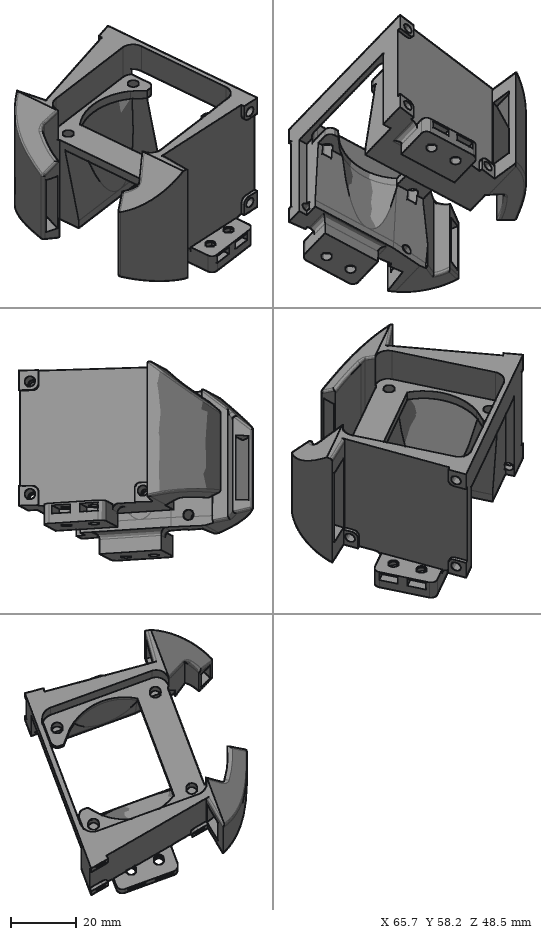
import cadquery as cq
import math


BODY_HEIGHT = 42.0
BACK_Y = 22.25
FRONT_Y = -20.1
LEFT_TILT = 10.0
RIGHT_TILT = 5.0
LEFT_WALL_X = -25.77
RIGHT_WALL_X = 24.4

POCKET_SIZE = 41.0
POCKET_RADIUS = 4.0
PLATE_TOP = 30.5
PLATE_BOTTOM = 27.5
PLATE_BACK_Y = 19.4
FRONT_GAP_HALF_WIDTH = 16.0
BACK_WALL_BOTTOM = 32.4
BACK_GAP_HALF_WIDTH = 22.0
FAN_BORE_RADIUS = 19.05
FAN_BORE_FRONT_Y = -10.2
FAN_SCREW_PITCH = 32.0
FAN_SCREW_DIAMETER = 3.45
FAN_SCREW_BOTTOM = 24.0
EAR_TIP_X = 10.5
EAR_RADIUS = 2.2
EAR_FLAT_END_Y = 15.9
EAR_MEETS_BORE_X = 14.4

CAVITY_TOP_LEFT_X = -14.0
CAVITY_TOP_RIGHT_X = 16.0
CAVITY_LEFT_X = -8.66
CAVITY_RIGHT_X = 17.6
CAVITY_MOUTH_HEIGHT = 3.0
CAVITY_BULGE_LENGTH = 36.0
CAVITY_FLARE_Y = 10.0
CAVITY_FLARE_SLOPE = 0.11
CAVITY_OVERRUN = 3.2

NUT_SLOT_WIDTH = 5.9
NUT_SLOT_HEIGHT = 2.6

TAB_REACH = 2.6
TAB_THICKNESS = 1.1
TAB_RADIUS = 2.0
BLOWER_SCREW_DIAMETER = 3.2
BLOWER_SCREW_SETBACK = 3.25
BLOWER_SCREW_HEIGHT = 3.5
BLOWER_SCREW_PITCH = BODY_HEIGHT - 2 * BLOWER_SCREW_HEIGHT
BLOWER_CLEARANCE_DEPTH = 6.1
BLOWER_CORE_DIAMETER = 3.0
LEFT_SCREW_DEPTH = 8.8
RIGHT_SCREW_DEPTH = 6.4

FOOT_OUTER_X = 32.5
FOOT_INNER_X = 20.0
FOOT_BACK_Y = 14.0
FOOT_FRONT_Y = -6.0
FOOT_HEIGHT = 6.5
FOOT_CORNER_RADIUS = 2.0
FOOT_ROOT_FILLET = 1.9
FOOT_CLEARANCE = 0.25
FOOT_HOLE_X = 27.5
FOOT_HOLE_YS = (8.0, -1.0)
FOOT_HOLE_DIAMETER = 3.2
FOOT_HOLE_RECESS = 0.05
FOOT_SLOT_BOTTOM = -3.5

ARM_BEND_Y = -20.7
ARM_TIP_Y = -36.2
ARM_TIP_TOP = 29.0
ARM_TIP_BOTTOM = 4.3
ARM_EDGE_FILLET = 0.9
ARM_ROOT_X = 20.5
DUCT_BOTTOM = 7.0
DUCT_INLET_TOP = 35.0
DUCT_OUTLET_TOP = 27.0
DUCT_OUTLET_END_Y = -30.5
DUCT_OVERRUN = 1.5


def wall_x(side, y):
    """X of the side wall at a given Y; side is -1 for left and 1 for right."""
    if side < 0:
        return LEFT_WALL_X - y * math.tan(math.radians(LEFT_TILT))
    return RIGHT_WALL_X + y * math.tan(math.radians(RIGHT_TILT))


def block(x_range, y_range, z_range):
    """Axis-aligned box between pairs of limits."""
    size = [high - low for low, high in (x_range, y_range, z_range)]
    return (
        cq.Workplane("XY")
        .box(*size, centered=False)
        .translate((x_range[0], y_range[0], z_range[0]))
    )


def body_prism(z_bottom, z_top):
    """Prism over the tapered body outline."""
    outline = [
        (wall_x(-1, BACK_Y), BACK_Y),
        (wall_x(1, BACK_Y), BACK_Y),
        (wall_x(1, FRONT_Y), FRONT_Y),
        (wall_x(-1, FRONT_Y), FRONT_Y),
    ]
    return cq.Workplane("XY").workplane(offset=z_bottom).polyline(outline).close().extrude(z_top - z_bottom)


def wall_plane(side):
    """Plane on a side wall: origin at its lower back corner, local Y up, normal outward."""
    tilt = math.radians(LEFT_TILT if side < 0 else RIGHT_TILT)
    return cq.Plane(
        origin=(wall_x(side, BACK_Y), BACK_Y, 0),
        xDir=(math.sin(tilt), side * math.cos(tilt), 0),
        normal=(side * math.cos(tilt), -math.sin(tilt), 0),
    )


def blower_screw_points(side):
    """Screw places on a wall plane: back bottom, front bottom and back top."""
    back = BLOWER_SCREW_SETBACK
    front = back + BLOWER_SCREW_PITCH
    low = BLOWER_SCREW_HEIGHT
    high = low + BLOWER_SCREW_PITCH
    return [(-side * along, height) for along, height in ((back, low), (front, low), (back, high))]


def blower_tabs(side):
    """Raised screw pads that run out to the wall edges and round off towards its middle."""
    plane = wall_plane(side)
    tabs = cq.Workplane("XY")
    middle_along = -side * (BLOWER_SCREW_SETBACK + BLOWER_SCREW_PITCH / 2)
    middle_height = BODY_HEIGHT / 2
    reach_out = BLOWER_SCREW_HEIGHT + TAB_REACH
    for along, height in blower_screw_points(side):
        inner_along = along + math.copysign(TAB_REACH, middle_along - along)
        inner_height = height + math.copysign(TAB_REACH, middle_height - height)
        outer_along = inner_along - math.copysign(reach_out, middle_along - along)
        outer_height = inner_height - math.copysign(reach_out, middle_height - height)
        corner = plane.toWorldCoords((inner_along, inner_height, TAB_THICKNESS / 2))
        pad = (
            cq.Workplane(plane)
            .center((inner_along + outer_along) / 2, (inner_height + outer_height) / 2)
            .rect(reach_out, reach_out)
            .extrude(TAB_THICKNESS)
            .edges(cq.selectors.NearestToPointSelector(corner.toTuple()))
            .fillet(TAB_RADIUS)
        )
        tabs = tabs.union(pad)
    limits = block((-FOOT_OUTER_X, FOOT_OUTER_X), (FRONT_Y, BACK_Y), (0, BODY_HEIGHT))
    return tabs.intersect(limits)


def blower_screw_holes(side):
    """Blind screw holes square to a side wall, stepped down to a narrower end."""
    tab_face = (
        cq.Workplane(wall_plane(side))
        .workplane(offset=TAB_THICKNESS)
        .pushPoints(blower_screw_points(side))
    )
    clearance = tab_face.circle(BLOWER_SCREW_DIAMETER / 2).extrude(-BLOWER_CLEARANCE_DEPTH)
    depth = LEFT_SCREW_DEPTH if side < 0 else RIGHT_SCREW_DEPTH
    core = tab_face.circle(BLOWER_CORE_DIAMETER / 2).extrude(-depth)
    return clearance.union(core)


def fan_pocket():
    """Square fan seat, its open front and the gap behind the fan plate."""
    seat = (
        cq.Workplane("XY")
        .workplane(offset=PLATE_TOP)
        .rect(POCKET_SIZE, POCKET_SIZE)
        .extrude(BODY_HEIGHT - PLATE_TOP)
        .edges("|Z")
        .fillet(POCKET_RADIUS)
    )
    gap = FRONT_GAP_HALF_WIDTH
    front_gap = block((-gap, gap), (FRONT_Y - 1, 0), (PLATE_TOP, BODY_HEIGHT))
    back_gap = block(
        (-BACK_GAP_HALF_WIDTH, BACK_GAP_HALF_WIDTH),
        (PLATE_BACK_Y, BACK_Y),
        (0, BACK_WALL_BOTTOM),
    )
    return seat.union(front_gap).union(back_gap)


def fan_bore():
    """Opening in the fan plate: a circle with a flat front and an open back between two ears."""
    thickness = PLATE_TOP - PLATE_BOTTOM
    plate = cq.Workplane("XY").workplane(offset=PLATE_BOTTOM)
    reach = FAN_BORE_RADIUS
    bore = plate.circle(FAN_BORE_RADIUS).extrude(thickness)
    bore = bore.intersect(
        block((-reach, reach), (FAN_BORE_FRONT_Y, PLATE_BACK_Y), (PLATE_BOTTOM, PLATE_TOP))
    )
    ear_bore_y = math.sqrt(FAN_BORE_RADIUS ** 2 - EAR_MEETS_BORE_X ** 2)
    ear_round_y = PLATE_BACK_Y - EAR_RADIUS
    flare_x = EAR_TIP_X + EAR_RADIUS
    middle = EAR_RADIUS * (1 - math.sqrt(0.5))
    throat = (
        plate.moveTo(-EAR_MEETS_BORE_X, ear_bore_y)
        .lineTo(-EAR_TIP_X, EAR_FLAT_END_Y)
        .lineTo(-EAR_TIP_X, ear_round_y)
        .threePointArc((-EAR_TIP_X - middle, PLATE_BACK_Y - middle), (-flare_x, PLATE_BACK_Y))
        .lineTo(flare_x, PLATE_BACK_Y)
        .threePointArc((EAR_TIP_X + middle, PLATE_BACK_Y - middle), (EAR_TIP_X, ear_round_y))
        .lineTo(EAR_TIP_X, EAR_FLAT_END_Y)
        .lineTo(EAR_MEETS_BORE_X, ear_bore_y)
        .close()
        .extrude(thickness)
    )
    ears = (
        plate.rect(2 * reach, 2 * PLATE_BACK_Y)
        .extrude(thickness)
        .cut(throat)
        .intersect(block((-reach, reach), (ear_bore_y, PLATE_BACK_Y), (PLATE_BOTTOM, PLATE_TOP)))
    )
    return bore.union(throat).cut(ears)


def air_cavity():
    """Passage from the fan plate to the offset mouth in the underside, open at the front and back."""
    front = FRONT_Y - CAVITY_OVERRUN
    flare_x = CAVITY_RIGHT_X + CAVITY_FLARE_SLOPE * (-CAVITY_FLARE_Y - front)
    mouth = [
        (CAVITY_LEFT_X, front),
        (flare_x, front),
        (CAVITY_RIGHT_X, -CAVITY_FLARE_Y),
        (CAVITY_RIGHT_X, PLATE_BACK_Y),
        (CAVITY_LEFT_X, PLATE_BACK_Y),
    ]
    passage_top = [
        (CAVITY_TOP_LEFT_X if x == CAVITY_LEFT_X else CAVITY_TOP_RIGHT_X, y) for x, y in mouth
    ]
    straight = cq.Workplane("XY").polyline(mouth).close().extrude(CAVITY_MOUTH_HEIGHT)
    passage = (
        straight.faces(">Z")
        .workplane(origin=(0, 0, 0))
        .polyline(mouth)
        .close()
        .workplane(offset=PLATE_BOTTOM - CAVITY_MOUTH_HEIGHT)
        .polyline(passage_top)
        .close()
        .loft(ruled=True)
    )
    centre_x = (CAVITY_LEFT_X + CAVITY_RIGHT_X) / 2
    half_width = (CAVITY_RIGHT_X - CAVITY_LEFT_X) / 2
    bulge = (
        cq.Workplane("XY", origin=(centre_x, 0, CAVITY_MOUTH_HEIGHT))
        .ellipse(CAVITY_BULGE_LENGTH / 2, half_width, rotation_angle=90)
        .workplane(offset=PLATE_BOTTOM - CAVITY_MOUTH_HEIGHT, origin=(0, 0, 0))
        .ellipse(FAN_BORE_RADIUS, FAN_BORE_RADIUS, rotation_angle=90)
        .loft(ruled=True)
    )
    return passage.union(bulge)


def fan_screws():
    """Blind screw holes of the top fan."""
    return (
        cq.Workplane("XY")
        .workplane(offset=FAN_SCREW_BOTTOM)
        .rect(FAN_SCREW_PITCH, FAN_SCREW_PITCH, forConstruction=True)
        .vertices()
        .circle(FAN_SCREW_DIAMETER / 2)
        .extrude(PLATE_TOP - FAN_SCREW_BOTTOM)
    )


def right_foot():
    """Mounting foot with rounded outer corners and a concave fillet up to the body underside."""
    outer = (
        block((FOOT_INNER_X, FOOT_OUTER_X), (FOOT_FRONT_Y, FOOT_BACK_Y), (-FOOT_HEIGHT, -FOOT_CLEARANCE))
        .edges("|Z and >X")
        .fillet(FOOT_CORNER_RADIUS)
    )
    radius = FOOT_ROOT_FILLET
    skirt_front = FOOT_FRONT_Y - radius
    skirt_back = FOOT_BACK_Y + radius
    skirt_inner = FOOT_INNER_X - radius
    skirt = block((skirt_inner, FOOT_OUTER_X), (skirt_front, skirt_back), (-radius, 0))
    for y in (skirt_front, skirt_back):
        skirt = skirt.cut(
            cq.Workplane("YZ", origin=(skirt_inner, y, -radius))
            .circle(radius)
            .extrude(FOOT_OUTER_X - skirt_inner)
        )
    skirt = skirt.cut(
        cq.Workplane("XZ", origin=(skirt_inner, skirt_back, -radius))
        .circle(radius)
        .extrude(skirt_back - skirt_front)
    )
    return outer, skirt


def right_foot_cuts():
    """Screw holes of the right foot and their nut slots, pointed at the inner end."""
    point_x = FOOT_HOLE_X - NUT_SLOT_WIDTH / math.sqrt(3)
    shoulder_x = FOOT_HOLE_X - NUT_SLOT_WIDTH / (2 * math.sqrt(3))
    half = NUT_SLOT_WIDTH / 2
    cuts = (
        cq.Workplane("XY")
        .workplane(offset=-FOOT_HEIGHT)
        .pushPoints([(FOOT_HOLE_X, y) for y in FOOT_HOLE_YS])
        .circle(FOOT_HOLE_DIAMETER / 2)
        .extrude(FOOT_HEIGHT + FOOT_HOLE_RECESS)
    )
    for y in FOOT_HOLE_YS:
        outline = [
            (point_x, y),
            (shoulder_x, y + half),
            (FOOT_OUTER_X, y + half),
            (FOOT_OUTER_X, y - half),
            (shoulder_x, y - half),
        ]
        slot = (
            cq.Workplane("XY")
            .workplane(offset=FOOT_SLOT_BOTTOM)
            .polyline(outline)
            .close()
            .extrude(NUT_SLOT_HEIGHT)
        )
        cuts = cuts.union(slot)
    return cuts


def side_profile(points):
    """Slab across the whole part with the given outline in the YZ plane."""
    width = 2 * (FOOT_OUTER_X + 1)
    return cq.Workplane("YZ", origin=(-width / 2, 0, 0)).polyline(points).close().extrude(width)


def air_arm(side, back_inner, back_outer, outer_curve, tip_outer, tip_inner, inner_mid, bend, root, round_outer_roof):
    """Curved arm with sloping roof and floor and rounded edges."""
    plan = (
        cq.Workplane("XY", origin=(0, 0, -BODY_HEIGHT))
        .moveTo(*back_inner)
        .lineTo(*back_outer)
        .spline([*outer_curve, tip_outer], includeCurrent=True)
        .lineTo(*tip_inner)
        .threePointArc(inner_mid, bend)
        .lineTo(*root)
        .lineTo(side * ARM_ROOT_X, back_inner[1])
        .close()
        .extrude(3 * BODY_HEIGHT)
    )
    roof_slope = (BODY_HEIGHT - ARM_TIP_TOP) / (ARM_BEND_Y - ARM_TIP_Y)
    floor_slope = ARM_TIP_BOTTOM / (ARM_BEND_Y - ARM_TIP_Y)
    profile = side_profile([
        (0, ARM_BEND_Y * floor_slope),
        (ARM_TIP_Y, ARM_TIP_BOTTOM),
        (ARM_TIP_Y, ARM_TIP_TOP),
        (0, BODY_HEIGHT - ARM_BEND_Y * roof_slope),
    ])
    arm = plan.intersect(profile)
    tip_edge = cq.selectors.NearestToPointSelector((*tip_outer, BODY_HEIGHT / 2))
    bend_edge = cq.selectors.NearestToPointSelector((*bend, BODY_HEIGHT / 2))
    front = cq.selectors.BoxSelector(
        (-FOOT_OUTER_X, ARM_TIP_Y, 0), (FOOT_OUTER_X, ARM_BEND_Y, BODY_HEIGHT)
    )
    roof_edges = front
    if not round_outer_roof:
        roof_edges = front - cq.selectors.NearestToPointSelector((*outer_curve[-1], BODY_HEIGHT))
    arm = arm.edges(bend_edge).fillet(ARM_EDGE_FILLET)
    if round_outer_roof:
        arm = arm.edges(tip_edge).fillet(ARM_EDGE_FILLET)
    arm = arm.faces(">Z").edges(roof_edges).fillet(ARM_EDGE_FILLET)
    if not round_outer_roof:
        arm = arm.intersect(plan.edges(tip_edge).fillet(ARM_EDGE_FILLET))
    arm = arm.faces("<Z").edges(front).fillet(ARM_EDGE_FILLET)
    limits = block((-2 * FOOT_OUTER_X, 2 * FOOT_OUTER_X), (ARM_TIP_Y, 0), (0, BODY_HEIGHT))
    back_middle = [(inner + outer) / 2 for inner, outer in zip(back_inner, back_outer)]
    back_edge = cq.selectors.NearestToPointSelector((*back_middle, BODY_HEIGHT))
    return arm.intersect(limits).edges(back_edge).fillet(ARM_EDGE_FILLET)


def arm_duct(inlet_inner, inlet_outer, outer_mid, outlet_outer, outlet_inner, bend):
    """Air passage from the inlet in the back of an arm to the outlet in its tip."""
    plan = (
        cq.Workplane("XY")
        .moveTo(*inlet_inner)
        .lineTo(*inlet_outer)
        .threePointArc(outer_mid, outlet_outer)
        .lineTo(*outlet_inner)
        .lineTo(*bend)
        .close()
        .extrude(BODY_HEIGHT)
    )
    profile = side_profile([
        (0, DUCT_BOTTOM),
        (ARM_TIP_Y - DUCT_OVERRUN, DUCT_BOTTOM),
        (ARM_TIP_Y - DUCT_OVERRUN, DUCT_OUTLET_TOP),
        (DUCT_OUTLET_END_Y, DUCT_OUTLET_TOP),
        (FRONT_Y, DUCT_INLET_TOP),
        (0, DUCT_INLET_TOP),
    ])
    return plan.intersect(profile)


def left_arm():
    return air_arm(
        -1,
        back_inner=(-22.4, -18.25),
        back_outer=(-32.7, -20.0),
        outer_curve=[(-29.1, -25.8), (-20.5, -32.0)],
        tip_outer=(-10.1, -36.2),
        tip_inner=(-7.75, -30.6),
        inner_mid=(-13.4, -28.5),
        bend=(-18.8, -25.3),
        root=(-16.0, -19.9),
        round_outer_roof=True,
    )


def right_arm():
    return air_arm(
        1,
        back_inner=(22.7, -17.95),
        back_outer=(32.95, -18.85),
        outer_curve=[(30.3, -26.3), (25.6, -32.1)],
        tip_outer=(19.2, -36.2),
        tip_inner=(16.6, -30.4),
        inner_mid=(19.0, -29.0),
        bend=(20.7, -27.4),
        root=(16.0, -19.9),
        round_outer_roof=False,
    )


def left_duct():
    return arm_duct(
        inlet_inner=(-23.2, -18.0),
        inlet_outer=(-30.3, -18.0),
        outer_mid=(-22.7, -28.7),
        outlet_outer=(-9.0, -35.0),
        outlet_inner=(-7.5, -31.5),
        bend=(-20.6, -26.2),
    )


def right_duct():
    return arm_duct(
        inlet_inner=(24.0, -18.0),
        inlet_outer=(31.3, -18.0),
        outer_mid=(27.3, -28.4),
        outlet_outer=(18.4, -35.0),
        outlet_inner=(16.7, -31.5),
        bend=(22.7, -27.6),
    )


def build():
    part = body_prism(0, BODY_HEIGHT)
    part = part.union(left_arm()).union(right_arm())
    part = part.cut(fan_pocket()).cut(air_cavity()).cut(fan_bore())
    foot, skirt = right_foot()
    underside = body_prism(-FOOT_ROOT_FILLET, 0)
    for side in (-1, 1):
        part = part.union(blower_tabs(side))
        side_foot = foot if side > 0 else foot.mirror("YZ")
        side_skirt = skirt if side > 0 else skirt.mirror("YZ")
        part = part.union(side_foot).union(side_skirt.intersect(underside))
    part = part.cut(fan_screws())
    for side in (-1, 1):
        cuts = right_foot_cuts()
        part = part.cut(cuts if side > 0 else cuts.mirror("YZ"))
        part = part.cut(blower_screw_holes(side))
    return part.cut(left_duct()).cut(right_duct())


result = build()